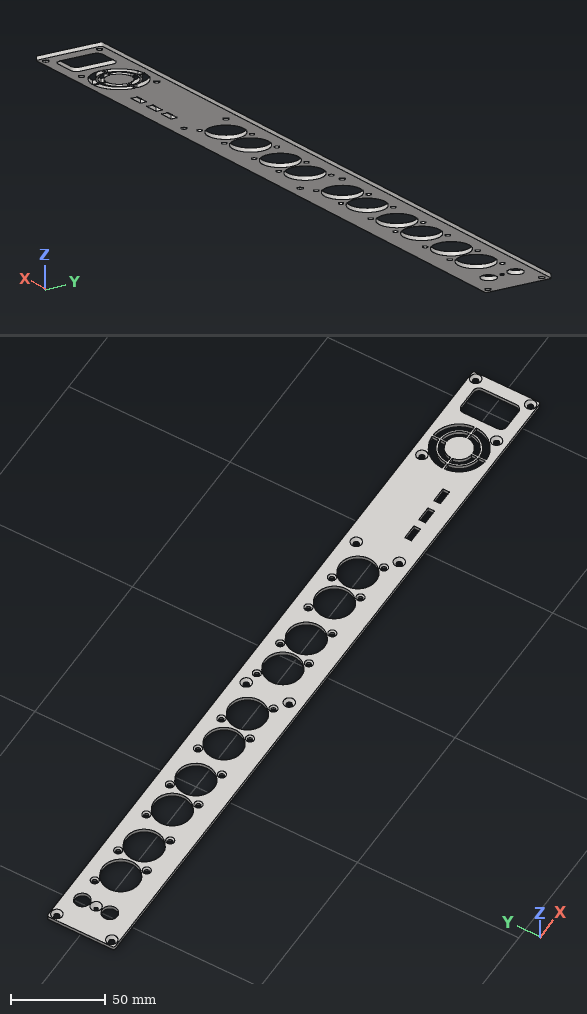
import cadquery as cq

LENGTH = 437.0
WIDTH = 42.0
THICKNESS = 2.5
LEFT_EDGE = -LENGTH / 2
RIGHT_EDGE = LENGTH / 2

COUNTERSINK_ANGLE = 90.0
CUT_MARGIN = 0.5

MOUNT_HOLE = 3.28
MOUNT_HEAD = 6.5
CORNER_INSET = 4.0
CORNER_RADIUS = 1.5
INNER_MOUNT_X = [LEFT_EDGE + 192.0, LEFT_EDGE + 304.5]
INNER_MOUNT_SPACING_Y = 26.5

CONNECTOR_BORE = 22.5
CONNECTOR_Y = 1.7
CONNECTOR_PITCH = 24.0
PAIR_FIRST_X = LEFT_EDGE + 44.0
PAIR_PITCH = 53.0
MIDDLE_GAP = 7.5
PAIR_STARTS = [PAIR_FIRST_X + i * PAIR_PITCH for i in range(3)]
PAIR_STARTS += [PAIR_FIRST_X + i * PAIR_PITCH + MIDDLE_GAP for i in (3, 4)]
CONNECTOR_SCREW_OFFSET = 10.0
CONNECTOR_SCREW_HOLE = 2.85
CONNECTOR_SCREW_HEAD = 5.0

JACK_X = LEFT_EDGE + 19.2
JACK_Y = 1.95
JACK_SPACING_Y = 17.0
JACK_BORE = 9.0
JACK_SCREW_HOLE = 2.0
JACK_SCREW_HEAD = 6.5

PORT_X = [LEFT_EDGE + x for x in (325.0, 339.5, 355.0)]
PORT_Y = -9.0
PORT_LENGTH = 9.0
PORT_WIDTH = 4.0

FAN_X = LEFT_EDGE + 388.0
GRILLE_SLOTS = [(16.0, 22.5), (25.0, 32.8)]
SPOKE_WIDTH = 1.5
FAN_SCREW_OFFSET = 14.5

INLET_X = LEFT_EDGE + 419.5
INLET_LENGTH = 19.2
INLET_WIDTH = 28.0
INLET_RADIUS = 3.5


def through_cylinder(x, y, diameter):
    height = THICKNESS + 2 * CUT_MARGIN
    return cq.Workplane("XY", origin=(x, y, -CUT_MARGIN)).circle(diameter / 2).extrude(height)


def through_box(x, y, length, width):
    height = THICKNESS + 2 * CUT_MARGIN
    return cq.Workplane("XY", origin=(x, y, -CUT_MARGIN)).rect(length, width).extrude(height)


def drill(plate, points, diameter):
    for x, y in points:
        plate = plate.cut(through_cylinder(x, y, diameter))
    return plate


def countersink(plate, points, hole, head):
    top = plate.faces(">Z").workplane(origin=(0, 0, THICKNESS))
    return top.pushPoints(points).cskHole(hole, head, COUNTERSINK_ANGLE)


def grille_cutter(inner_diameter, outer_diameter):
    ring = through_cylinder(FAN_X, 0, outer_diameter)
    ring = ring.cut(through_cylinder(FAN_X, 0, inner_diameter))
    ring = ring.cut(through_box(FAN_X, 0, outer_diameter, SPOKE_WIDTH))
    return ring.cut(through_box(FAN_X, 0, SPOKE_WIDTH, outer_diameter))


plate = cq.Workplane("XY").box(LENGTH, WIDTH, THICKNESS, centered=(True, True, False))
plate = plate.edges("|Z").fillet(CORNER_RADIUS)

corner_x = RIGHT_EDGE - CORNER_INSET
corner_y = WIDTH / 2 - CORNER_INSET
mounts = [(sx * corner_x, sy * corner_y) for sx in (-1, 1) for sy in (-1, 1)]
mounts += [(x, sy * INNER_MOUNT_SPACING_Y / 2) for x in INNER_MOUNT_X for sy in (-1, 1)]
fan_screws = [(FAN_X - s * FAN_SCREW_OFFSET, s * FAN_SCREW_OFFSET) for s in (-1, 1)]
connectors = [(x + i * CONNECTOR_PITCH, CONNECTOR_Y) for x in PAIR_STARTS for i in (0, 1)]
connector_screws = [
    (x - s * CONNECTOR_SCREW_OFFSET, y + s * CONNECTOR_SCREW_OFFSET) for x, y in connectors for s in (-1, 1)
]
plate = countersink(plate, mounts + fan_screws, MOUNT_HOLE, MOUNT_HEAD)
plate = countersink(plate, connector_screws, CONNECTOR_SCREW_HOLE, CONNECTOR_SCREW_HEAD)
plate = countersink(plate, [(JACK_X, JACK_Y)], JACK_SCREW_HOLE, JACK_SCREW_HEAD)

plate = drill(plate, connectors, CONNECTOR_BORE)
plate = drill(plate, [(JACK_X, JACK_Y + s * JACK_SPACING_Y / 2) for s in (-1, 1)], JACK_BORE)

for port_x in PORT_X:
    plate = plate.cut(through_box(port_x, PORT_Y, PORT_LENGTH, PORT_WIDTH))

for inner, outer in GRILLE_SLOTS:
    plate = plate.cut(grille_cutter(inner, outer))

inlet = through_box(INLET_X, 0, INLET_LENGTH, INLET_WIDTH).edges("|Z").fillet(INLET_RADIUS)
result = plate.cut(inlet)